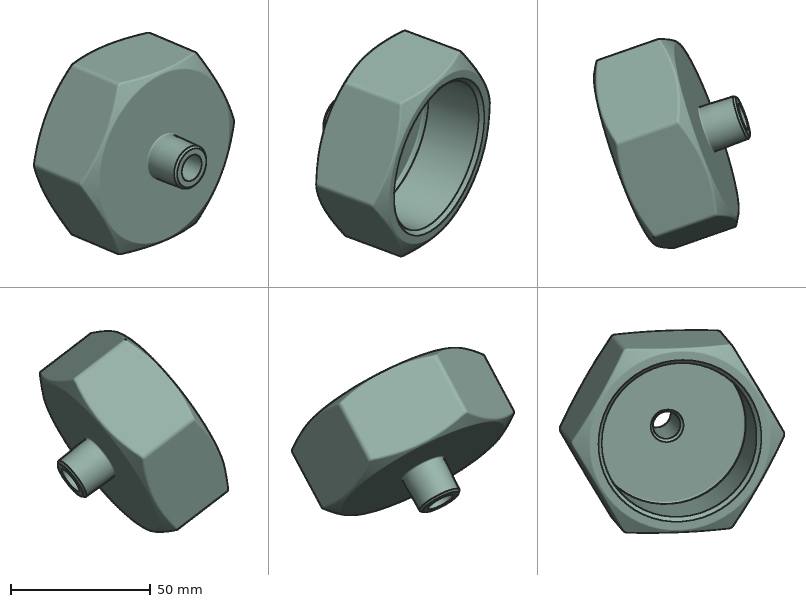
import cadquery as cq
import math

ACROSS_FLATS = 68.0
NUT_LENGTH = 31.0
CORNER_RADIUS = 2.0
END_FACE_DIAMETER = 66.0
END_CONE_ANGLE = 30.0
EDGE_RADIUS = 1.0

BORE_DIAMETER = 56.66
MOUTH_DIAMETER = 59.6
RELIEF_DIAMETER = 56.86
RELIEF_WIDTH = 2.0
SOCKET_DEPTH = 25.0
FLOOR_RADIUS = 0.5

SPIGOT_LENGTH = 14.0
SPIGOT_DIAMETER = 16.89
SPIGOT_STRAIGHT_LENGTH = 4.0
SPIGOT_TAPER = 1 / 16
SPIGOT_ROOT_RADIUS = 0.5
SPIGOT_TIP_CHAMFER = 0.8

PASSAGE_DIAMETER = 10.0
PASSAGE_CHAMFER = 1.0

TOTAL_LENGTH = NUT_LENGTH + SPIGOT_LENGTH
CORNER_REACH = ACROSS_FLATS / math.sqrt(3)


def revolve_about_x(outline):
    """Revolve a closed XY outline about the X axis."""
    return outline.close().revolve(360, (0, 0, 0), (1, 0, 0))


def hexagon_body():
    """Hexagonal prism with flats on top and bottom, coned and rounded at both ends."""
    prism = (
        cq.Workplane("YZ")
        .polygon(6, 2 * CORNER_REACH)
        .extrude(NUT_LENGTH)
        .edges("|X")
        .fillet(CORNER_RADIUS)
    )
    face_radius = END_FACE_DIAMETER / 2
    cone_length = (CORNER_REACH - face_radius) * math.tan(math.radians(END_CONE_ANGLE))
    envelope = revolve_about_x(
        cq.Workplane("XY")
        .lineTo(0, face_radius)
        .lineTo(cone_length, CORNER_REACH)
        .lineTo(NUT_LENGTH - cone_length, CORNER_REACH)
        .lineTo(NUT_LENGTH, face_radius)
        .lineTo(NUT_LENGTH, 0)
    )
    return prism.intersect(envelope).edges("not(|X)").fillet(EDGE_RADIUS)


def spigot():
    """Straight shank with a flared root, followed by a taper and a chamfered tip."""
    radius = SPIGOT_DIAMETER / 2
    taper_start = NUT_LENGTH + SPIGOT_STRAIGHT_LENGTH
    taper_end = TOTAL_LENGTH - SPIGOT_TIP_CHAMFER
    taper_end_radius = radius - (taper_end - taper_start) * SPIGOT_TAPER / 2
    buried_start = NUT_LENGTH - SPIGOT_ROOT_RADIUS
    root_reach = radius + SPIGOT_ROOT_RADIUS
    return revolve_about_x(
        cq.Workplane("XY")
        .moveTo(buried_start, 0)
        .lineTo(buried_start, root_reach)
        .lineTo(NUT_LENGTH, root_reach)
        .radiusArc((NUT_LENGTH + SPIGOT_ROOT_RADIUS, radius), -SPIGOT_ROOT_RADIUS)
        .lineTo(taper_start, radius)
        .lineTo(taper_end, taper_end_radius)
        .lineTo(TOTAL_LENGTH, taper_end_radius - SPIGOT_TIP_CHAMFER)
        .lineTo(TOTAL_LENGTH, 0)
    )


def socket():
    """Cutter for the bore: 45 degree mouth, relief at the bottom and rounded floor corner."""
    mouth_depth = (MOUTH_DIAMETER - BORE_DIAMETER) / 2
    relief_start = SOCKET_DEPTH - RELIEF_WIDTH
    relief_radius = RELIEF_DIAMETER / 2
    return revolve_about_x(
        cq.Workplane("XY")
        .lineTo(0, MOUTH_DIAMETER / 2)
        .lineTo(mouth_depth, BORE_DIAMETER / 2)
        .lineTo(relief_start, BORE_DIAMETER / 2)
        .lineTo(relief_start, relief_radius)
        .lineTo(SOCKET_DEPTH - FLOOR_RADIUS, relief_radius)
        .radiusArc((SOCKET_DEPTH, relief_radius - FLOOR_RADIUS), FLOOR_RADIUS)
        .lineTo(SOCKET_DEPTH, 0)
    )


def passage():
    """Cutter for the central hole, chamfered where it leaves the socket floor."""
    radius = PASSAGE_DIAMETER / 2
    return revolve_about_x(
        cq.Workplane("XY")
        .moveTo(SOCKET_DEPTH, 0)
        .lineTo(SOCKET_DEPTH, radius + PASSAGE_CHAMFER)
        .lineTo(SOCKET_DEPTH + PASSAGE_CHAMFER, radius)
        .lineTo(TOTAL_LENGTH, radius)
        .lineTo(TOTAL_LENGTH, 0)
    )


result = hexagon_body().union(spigot()).cut(socket()).cut(passage())